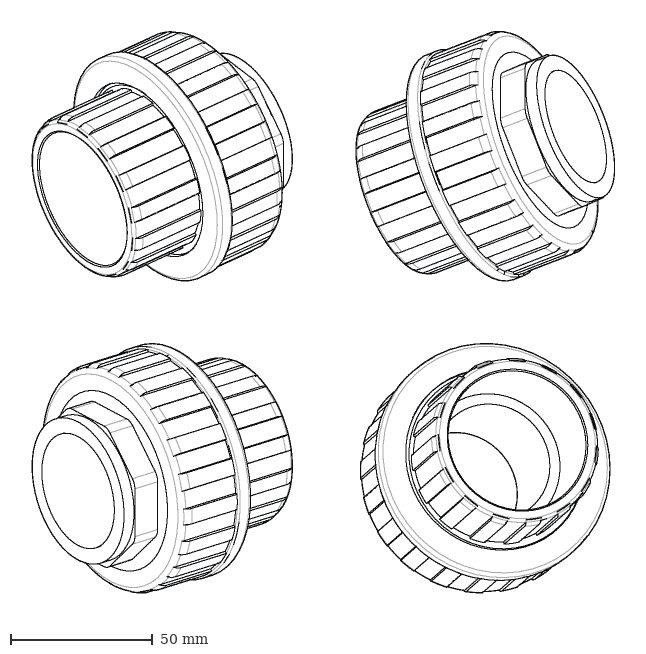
import cadquery as cq
import math

nut_front = 28.3
flange_back = 34.3
nut_back = 58.5
octagon_back = 68.6
total_length = 73.0

flange_diameter = 85.0
flange_front_round = 1.4
flange_back_round = 0.8
nut_bore_diameter = 65.7
nut_body_diameter = 81.8
nut_body_round = 2.0
nut_rib_count = 20
nut_rib_diameter = 83.5
nut_rib_width = 5.7
nut_rib_end_length = 4.1
nut_rib_end_drop = 2.55

socket_diameter = 59.3
socket_round = 1.1
socket_rib_count = 15
socket_rib_diameter = 60.95
socket_rib_width = 5.2
socket_rib_end_length = 3.6
socket_rib_end_drop = 1.5
bore_mouth_diameter = 50.6
bore_floor_diameter = 49.5
bore_depth = 31.5
bore_chamfer = 0.5
through_diameter = 42.0
collar_recess = 1.0
collar_bevel_length = 0.85
collar_face_diameter = 64.2
octagon_across_flats = 54.2
octagon_corner_radius = 4.85
tail_diameter = 53.3

rib_flare = 0.3
rib_root_depth = 0.85


def cylinder(diameter, start, end):
    """Solid cylinder on the Y axis between two stations."""
    return cq.Workplane("XZ", origin=(0, start, 0)).circle(diameter / 2).extrude(start - end)


def rib_envelope(diameter, end_length, end_drop, start, end):
    """Solid of revolution bounding the rib tops, whose arc turns inward towards the end station."""
    radius = diameter / 2
    arc_start = end + math.copysign(end_length, start - end)
    return (
        cq.Workplane("XY")
        .moveTo(0, start)
        .lineTo(radius, start)
        .lineTo(radius, arc_start)
        .tangentArcPoint((radius - end_drop, end), relative=False)
        .lineTo(0, end)
        .close()
        .revolve(360, (0, 0, 0), (0, 1, 0))
    )


def ribs(count, width, body_diameter, envelope, start, end):
    """Ribs around the Y axis, the first on +Z, trimmed to the envelope of their tops."""
    half_top = width / 2
    half_root = half_top + rib_flare
    root = body_diameter / 2 - rib_root_depth
    beyond = body_diameter / 2 + 2 * rib_root_depth
    rib = (
        cq.Workplane("XZ", origin=(0, start, 0))
        .polyline([(-half_root, root), (half_root, root), (half_top, beyond), (-half_top, beyond)])
        .close()
        .extrude(start - end)
        .intersect(envelope)
    )
    return [rib.rotate((0, 0, 0), (0, 1, 0), index * 360 / count) for index in range(count)]


def make_nut():
    flange = cylinder(flange_diameter, nut_front, flange_back)
    flange = flange.faces("<Y").edges().fillet(flange_front_round)
    flange = flange.faces(">Y").edges().fillet(flange_back_round)
    body = cylinder(nut_body_diameter, nut_front + flange_front_round, nut_back)
    body = body.faces(">Y").edges().fillet(nut_body_round)
    rib_start = (nut_front + flange_back) / 2
    envelope = rib_envelope(nut_rib_diameter, nut_rib_end_length, nut_rib_end_drop, rib_start, nut_back)
    nut = flange.union(body)
    for rib in ribs(nut_rib_count, nut_rib_width, nut_body_diameter, envelope, rib_start, nut_back):
        nut = nut.union(rib)
    return nut.cut(cylinder(nut_bore_diameter, nut_front, nut_back))


def make_socket():
    end = nut_front + 2 * collar_recess
    socket = cylinder(socket_diameter, 0, end)
    socket = socket.faces("<Y").edges().fillet(socket_round)
    envelope = rib_envelope(socket_rib_diameter, socket_rib_end_length, socket_rib_end_drop, end, 0)
    for rib in ribs(socket_rib_count, socket_rib_width, socket_diameter, envelope, 0, end):
        socket = socket.union(rib)
    return socket


def make_collar():
    """Collar filling the nut bore; its front bevel leans so that it vanishes on the +X side."""
    face = nut_front + collar_recess
    shoulder = face + collar_bevel_length
    offset = (nut_bore_diameter - collar_face_diameter) / 2
    bevel = (
        cq.Workplane("XZ", origin=(0, shoulder, 0))
        .circle(nut_bore_diameter / 2)
        .workplane(offset=collar_bevel_length)
        .center(offset, 0)
        .circle(collar_face_diameter / 2)
        .loft()
    )
    return cylinder(nut_bore_diameter, shoulder, nut_back).union(bevel)


def make_fitting():
    collar = make_collar()
    octagon = (
        cq.Workplane("XZ", origin=(0, nut_back, 0))
        .polygon(8, octagon_across_flats, circumscribed=True)
        .extrude(nut_back - octagon_back)
        .edges("|Y")
        .fillet(octagon_corner_radius)
    )
    tail = cylinder(tail_diameter, octagon_back, total_length)
    fitting = make_socket().union(collar).union(octagon).union(tail)
    bore_profile = [
        (0, 0),
        (bore_mouth_diameter / 2 + bore_chamfer, 0),
        (bore_mouth_diameter / 2, bore_chamfer),
        (bore_floor_diameter / 2, bore_depth),
        (through_diameter / 2, bore_depth),
        (through_diameter / 2, total_length),
        (0, total_length),
    ]
    bore = cq.Workplane("XY").polyline(bore_profile).close().revolve(360, (0, 0, 0), (0, 1, 0))
    return fitting.cut(bore)


nut = make_nut()
fitting = make_fitting()
result = cq.Compound.makeCompound([nut.val(), fitting.val()])